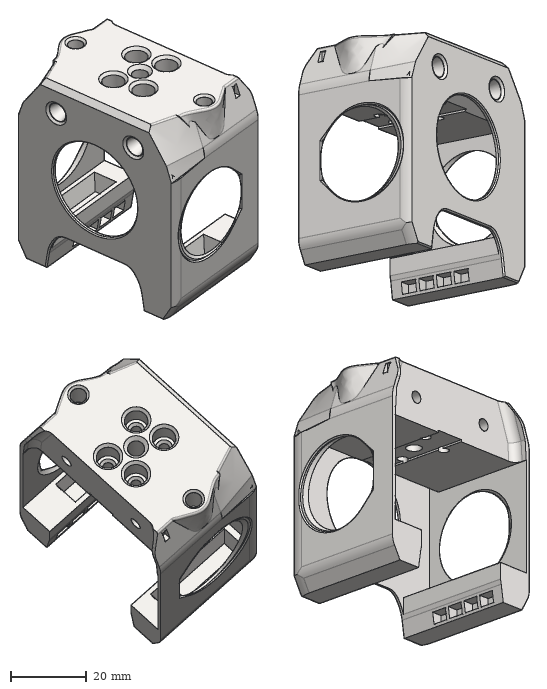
import cadquery as cq
import math

WIDTH = 53.0
DEPTH = 36.49
HEIGHT = 59.85
HALF_WIDTH = WIDTH / 2
OVERSHOOT = 2.0

FOOT_ANGLE = math.radians(30)
FOOT_BLEND_RADIUS = 6.0
FOOT_HALF_WIDTH = 23.6
SHOULDER_ANGLE = math.radians(20)
SHOULDER_BLEND_RADIUS = 9.0
SHOULDER_START_Z = 46.35
FRONT_EDGE_RADIUS = 8.7
FRONT_EDGE_ANGLE = math.radians(23)
TOP_FRONT_CHAMFER = 1.6
FRONT_BOTTOM_CHAMFER = 0.4
TOP_SIDE_FILLET = 0.65
BACK_BLEND_RADIUS = 6.0
BACK_BLEND_ANGLE = math.radians(30)
BACK_BEVEL_TOP_Y = 33.3

BEVEL_LENGTH = 13.5
BEVEL_TOP_X = 17.2
BEVEL_KNEE_X = 24.2
BEVEL_KNEE_Z = 50.0
BEVEL_END_X = 25.9
BEVEL_END_Z = 45.1

WALL = 1.1
MOUTH_ANGLE = 45
CEILING_Z = 43.7
CEILING_FRONT_BEVEL = 3.3
CEILING_RELIEF_WIDTH = 8.8
CEILING_RELIEF_DEPTH = 0.6
TOP_BACK_Y = 32.5
BACK_CORNER_RADIUS = 2.5
FOOT_TOP_Z = 11.2
FOOT_INNER_X = 15.3
FOOT_POCKET_DEPTH = 5.0
FOOT_POCKET_TAPER = 15
FOOT_POCKET_INNER_X = 16.7
FOOT_POCKET_OUTER_X = 24.1
FOOT_POCKET_FRONT_Y = 3.0
LEFT_POCKET_BACK_Y = 30.5
RIGHT_POCKET_BACK_Y = 25.5

CELL_COUNT = 4
CELL_FIRST_Y = 11.4
CELL_LENGTH = 4.6
CELL_PITCH = 5.7
CELL_BOTTOM_Z = 0.9
CELL_TOP_Z = 4.2
CELL_OUTER_X = 19.0

SLOT_HEIGHT = 12.2
SLOT_FLAT_HALF_WIDTH = 9.6
SLOT_SHOULDER_HALF_WIDTH = 13.5
SLOT_SHOULDER_HEIGHT = 10.1
SLOT_SIDE_HALF_WIDTH = 15.6
SLOT_SIDE_HEIGHT = 5.0
SLOT_BASE_HALF_WIDTH = 16.4

FRONT_HOLE_DIAMETER = 28.4
FRONT_HOLE_Z = 32.1
FRONT_HOLE_CHAMFER = 0.35
FRONT_SCREW_X = 13.0
FRONT_SCREW_Z = 51.2
FRONT_SCREW_DIAMETER = 3.4
FRONT_SCREW_HEAD_DIAMETER = 5.7
FRONT_SCREW_MOUTH_DIAMETER = 7.0
FRONT_SCREW_HEAD_DEPTH = 5.0

SIDE_HOLE_RADIUS = 13.2
SIDE_HOLE_Y = 15.8
SIDE_HOLE_Z = 27.0
SIDE_HOLE_BACK_Y = 29.1
SIDE_HOLE_CHAMFER = 0.4
SIDE_HOLE_INNER_RADIUS = 13.1
SIDE_HOLE_INNER_Y = 17.9

EAR_Y = 19.4
EAR_TIP_X = 25.9
EAR_BOTTOM_Z = 48.9
EAR_BOTTOM_SPREAD = 3.7
EAR_TOP_SPREAD = 10.2
EAR_ROOT_X = 19.0
EAR_BURY = 0.1
EAR_CURVE_STEPS = 4
EAR_FRONT_DROP = 0.7
EAR_HOLE_X = 21.7
EAR_HOLE_DIAMETER = 4.4
EAR_HOLE_MOUTH_DIAMETER = 5.7
EAR_HOLE_BOTTOM_DIAMETER = 3.6
EAR_HOLE_DEPTH = 8.0

PATTERN_Y = EAR_Y
PATTERN_RADIUS = 7.95
PATTERN_ANGLES = (66, 135, 246, 315)
TOP_SCREW_DIAMETER = 2.9
TOP_SCREW_NECK_DIAMETER = 4.4
TOP_SCREW_HEAD_DIAMETER = 6.2
TOP_SCREW_MOUTH_DIAMETER = 7.8
TOP_SCREW_HEAD_DEPTH = 6.0
CENTER_HOLE_DIAMETER = 4.5
CENTER_HOLE_MOUTH_DIAMETER = 6.6

NOTCH_Y = 31.25
NOTCH_WIDTH = 1.65
NOTCH_BOTTOM_Z = 55.3
NOTCH_TOP_Z = 58.5
NOTCH_INNER_X = 22.0

SHOULDER_BLEND_DROP = SHOULDER_BLEND_RADIUS * (1 - math.cos(SHOULDER_ANGLE))
SHOULDER_PLANE_Z = SHOULDER_START_Z + SHOULDER_BLEND_RADIUS * math.sin(SHOULDER_ANGLE)


def shoulder_x(z):
    """Half width of the sloping shoulder plane at height z."""
    return HALF_WIDTH - SHOULDER_BLEND_DROP - (z - SHOULDER_PLANE_Z) * math.tan(SHOULDER_ANGLE)


def both_sides(solid):
    return solid.union(solid.mirror("YZ"))


def along_y(start_y):
    """Sketch plane at depth start_y with local X, Y along X, Z; negative lengths run toward +Y."""
    return cq.Workplane("XZ", origin=(0, start_y, 0))


def side_profile():
    blend_height = FOOT_BLEND_RADIUS * math.sin(FOOT_ANGLE)
    blend_drop = FOOT_BLEND_RADIUS * (1 - math.cos(FOOT_ANGLE))
    blend_x = HALF_WIDTH - blend_drop
    blend_z = (blend_x - FOOT_HALF_WIDTH) / math.tan(FOOT_ANGLE)
    foot_mid = FOOT_ANGLE / 2
    shoulder_mid = SHOULDER_ANGLE / 2
    right_half = (
        along_y(0)
        .moveTo(0, 0)
        .lineTo(FOOT_HALF_WIDTH, 0)
        .lineTo(blend_x, blend_z)
        .threePointArc(
            (
                HALF_WIDTH - FOOT_BLEND_RADIUS * (1 - math.cos(foot_mid)),
                blend_z + blend_height - FOOT_BLEND_RADIUS * math.sin(foot_mid),
            ),
            (HALF_WIDTH, blend_z + blend_height),
        )
        .lineTo(HALF_WIDTH, SHOULDER_START_Z)
        .threePointArc(
            (
                HALF_WIDTH - SHOULDER_BLEND_RADIUS * (1 - math.cos(shoulder_mid)),
                SHOULDER_START_Z + SHOULDER_BLEND_RADIUS * math.sin(shoulder_mid),
            ),
            (HALF_WIDTH - SHOULDER_BLEND_DROP, SHOULDER_PLANE_Z),
        )
        .lineTo(shoulder_x(HEIGHT), HEIGHT)
        .lineTo(0, HEIGHT)
        .close()
        .extrude(-DEPTH)
    )
    return both_sides(right_half)


def front_edge_sliver(origin, direction, outward, length):
    """Cutter that rounds a side edge of the front face, extruded along that edge."""
    edge_depth = FRONT_EDGE_RADIUS * math.sin(FRONT_EDGE_ANGLE)
    edge_drop = FRONT_EDGE_RADIUS * (1 - math.cos(FRONT_EDGE_ANGLE))
    mid = FRONT_EDGE_ANGLE / 2
    mid_point = (
        FRONT_EDGE_RADIUS * (math.cos(mid) - 1),
        edge_depth - FRONT_EDGE_RADIUS * math.sin(mid),
    )
    return (
        cq.Workplane(cq.Plane(origin=origin, xDir=outward, normal=direction))
        .moveTo(-edge_drop, 0)
        .threePointArc(mid_point, (0, edge_depth))
        .lineTo(OVERSHOOT, edge_depth)
        .lineTo(OVERSHOOT, -OVERSHOOT)
        .lineTo(-edge_drop, -OVERSHOOT)
        .close()
        .extrude(length)
    )


def front_edge_rounding():
    sine = math.sin(FOOT_ANGLE)
    cosine = math.cos(FOOT_ANGLE)
    upright = front_edge_sliver((HALF_WIDTH, 0, 0), (0, 0, 1), (1, 0, 0), HEIGHT)
    foot_start = (FOOT_HALF_WIDTH - OVERSHOOT * sine, 0, -OVERSHOOT * cosine)
    foot_length = OVERSHOOT + FOOT_TOP_Z
    foot = front_edge_sliver(foot_start, (sine, 0, cosine), (cosine, 0, -sine), foot_length)
    return both_sides(upright.union(foot))


def depth_profile():
    """Outline in Y and Z: chamfered top front edge, bevelled and rounded top back edge."""
    blend_drop = BACK_BLEND_RADIUS * (1 - math.cos(BACK_BLEND_ANGLE))
    blend_y = DEPTH - blend_drop
    blend_z = HEIGHT - (blend_y - BACK_BEVEL_TOP_Y) / math.tan(BACK_BLEND_ANGLE)
    start_z = blend_z - BACK_BLEND_RADIUS * math.sin(BACK_BLEND_ANGLE)
    mid = BACK_BLEND_ANGLE / 2
    return (
        cq.Workplane("YZ", origin=(-HALF_WIDTH, 0, 0))
        .moveTo(0, 0)
        .lineTo(DEPTH, 0)
        .lineTo(DEPTH, start_z)
        .threePointArc(
            (
                DEPTH - BACK_BLEND_RADIUS * (1 - math.cos(mid)),
                start_z + BACK_BLEND_RADIUS * math.sin(mid),
            ),
            (blend_y, blend_z),
        )
        .lineTo(BACK_BEVEL_TOP_Y, HEIGHT)
        .lineTo(TOP_FRONT_CHAMFER, HEIGHT)
        .lineTo(0, HEIGHT - TOP_FRONT_CHAMFER)
        .close()
        .extrude(WIDTH)
    )


def corner_bevel():
    """Ruled cutter that turns the shoulder slope into a steeper cut at the front face."""
    outer_x = HALF_WIDTH + OVERSHOOT
    front = [
        (BEVEL_TOP_X, HEIGHT),
        (BEVEL_KNEE_X, BEVEL_KNEE_Z),
        (BEVEL_END_X, BEVEL_END_Z),
        (outer_x, BEVEL_END_Z),
        (outer_x, HEIGHT),
    ]
    back = [
        (shoulder_x(HEIGHT), HEIGHT),
        (shoulder_x(SHOULDER_PLANE_Z), SHOULDER_PLANE_Z),
        (HALF_WIDTH, SHOULDER_START_Z),
        (outer_x, SHOULDER_START_Z),
        (outer_x, HEIGHT),
    ]
    cutter = (
        along_y(0).polyline(front).close()
        .workplane(offset=-BEVEL_LENGTH).polyline(back).close()
        .loft(ruled=True)
    )
    return both_sides(cutter)


def ear_section(z):
    """Bell shaped plan outline of an ear at height z."""
    rise = (z - EAR_BOTTOM_Z) / (HEIGHT - EAR_BOTTOM_Z)
    spread = EAR_BOTTOM_SPREAD + rise * (EAR_TOP_SPREAD - EAR_BOTTOM_SPREAD)
    back_x = shoulder_x(z) - EAR_BURY
    front_x = back_x - EAR_FRONT_DROP * rise
    steps = EAR_CURVE_STEPS
    points = []
    for i in range(-steps, steps + 1):
        t = i / steps
        base_x = front_x if t < 0 else back_x
        reach = EAR_TIP_X - base_x
        bell = (1 + math.cos(math.pi * t)) / 2
        points.append(cq.Vector(base_x + reach * bell, EAR_Y + spread * t, z))
    straight = cq.Vector(0, 1, 0)
    curve = cq.Edge.makeSpline(points, tangents=[straight, straight])
    root = [cq.Vector(EAR_ROOT_X, p.y, z) for p in (points[-1], points[0])]
    sides = [
        cq.Edge.makeLine(points[-1], root[0]),
        cq.Edge.makeLine(root[0], root[1]),
        cq.Edge.makeLine(root[1], points[0]),
    ]
    return cq.Wire.assembleEdges([curve] + sides)


def ears():
    ear = cq.Solid.makeLoft([ear_section(EAR_BOTTOM_Z), ear_section(HEIGHT)], True)
    return both_sides(cq.Workplane(obj=ear))


def outer_body():
    body = side_profile().intersect(depth_profile()).cut(front_edge_rounding())
    body = body.cut(corner_bevel()).union(ears())
    top_sides = body.faces(">Z").edges("not |X")
    body = top_sides.fillet(TOP_SIDE_FILLET).cut(arched_slot())
    arch_area = cq.selectors.BoxSelector(
        (-FOOT_HALF_WIDTH, -OVERSHOOT, -OVERSHOOT),
        (FOOT_HALF_WIDTH, OVERSHOOT, SLOT_HEIGHT + OVERSHOOT),
    )
    foot_edges = body.faces("<Y").edges(arch_area).edges("#Y")
    return foot_edges.chamfer(FRONT_BOTTOM_CHAMFER)


def box(x_min, x_max, y_min, y_max, z_min, z_max):
    size = (x_max - x_min, y_max - y_min, z_max - z_min)
    return cq.Workplane(obj=cq.Solid.makeBox(*size, cq.Vector(x_min, y_min, z_min)))


def cavity():
    inner_x = HALF_WIDTH - WALL
    back = DEPTH + OVERSHOOT
    room = box(-inner_x, inner_x, WALL, back, FOOT_TOP_Z, CEILING_Z)
    between_feet = box(-FOOT_INNER_X, FOOT_INNER_X, WALL, back, -OVERSHOOT, FOOT_TOP_Z)
    ceiling_bevel = (
        cq.Workplane("YZ", origin=(-inner_x, 0, 0))
        .moveTo(WALL, CEILING_Z)
        .lineTo(WALL + CEILING_FRONT_BEVEL, CEILING_Z)
        .lineTo(WALL, CEILING_Z + CEILING_FRONT_BEVEL)
        .close()
        .extrude(2 * inner_x)
    )
    relief_x = CEILING_RELIEF_WIDTH / 2
    relief = box(-relief_x, relief_x, WALL, back, CEILING_Z, CEILING_Z + CEILING_RELIEF_DEPTH)
    return room.union(between_feet).union(ceiling_bevel).union(relief)


def back_opening():
    """Space behind the top block, bounded by the thin shoulder walls."""
    cutter = (
        along_y(TOP_BACK_Y)
        .moveTo(HALF_WIDTH - WALL, CEILING_Z - OVERSHOOT)
        .lineTo(shoulder_x(SHOULDER_PLANE_Z) - WALL, SHOULDER_PLANE_Z)
        .lineTo(shoulder_x(HEIGHT) - WALL, HEIGHT)
        .lineTo(-shoulder_x(HEIGHT) + WALL, HEIGHT)
        .lineTo(-shoulder_x(SHOULDER_PLANE_Z) + WALL, SHOULDER_PLANE_Z)
        .lineTo(-HALF_WIDTH + WALL, CEILING_Z - OVERSHOOT)
        .close()
        .extrude(TOP_BACK_Y - DEPTH - OVERSHOOT)
    )
    return cutter.faces("<Y").edges("not |X").fillet(BACK_CORNER_RADIUS)


def foot_pocket(side, back_y):
    """Pocket with sloping walls in the top of one foot; side is -1 or 1."""
    width = FOOT_POCKET_OUTER_X - FOOT_POCKET_INNER_X
    length = back_y - FOOT_POCKET_FRONT_Y
    center = (
        side * (FOOT_POCKET_INNER_X + width / 2),
        FOOT_POCKET_FRONT_Y + length / 2,
        FOOT_TOP_Z,
    )
    sketch = cq.Workplane("XY", origin=center).rect(width, length)
    return sketch.extrude(-FOOT_POCKET_DEPTH, taper=FOOT_POCKET_TAPER)


def foot_pockets():
    return foot_pocket(-1, LEFT_POCKET_BACK_Y).union(foot_pocket(1, RIGHT_POCKET_BACK_Y))


def foot_cells():
    cells = cq.Workplane()
    for i in range(CELL_COUNT):
        y = CELL_FIRST_Y + i * CELL_PITCH
        cell = box(FOOT_INNER_X, CELL_OUTER_X, y, y + CELL_LENGTH, CELL_BOTTOM_Z, CELL_TOP_Z)
        cells = cells.add(cell)
    return both_sides(cells.combine())


def arched_slot():
    base_slope = (SLOT_SIDE_HALF_WIDTH - SLOT_BASE_HALF_WIDTH, SLOT_SIDE_HEIGHT)
    half = (
        along_y(-OVERSHOOT)
        .moveTo(0, 0)
        .lineTo(SLOT_BASE_HALF_WIDTH, 0)
        .lineTo(SLOT_SIDE_HALF_WIDTH, SLOT_SIDE_HEIGHT)
        .spline(
            [(SLOT_SHOULDER_HALF_WIDTH, SLOT_SHOULDER_HEIGHT), (SLOT_FLAT_HALF_WIDTH, SLOT_HEIGHT)],
            tangents=[base_slope, (-1, 0)],
            includeCurrent=True,
        )
        .lineTo(0, SLOT_HEIGHT)
        .close()
        .extrude(-(DEPTH + 2 * OVERSHOOT))
    )
    return both_sides(half)


def stepped_hole(point, direction, steps):
    """Coaxial cutters; each step is (start radius, end radius, start depth, end depth)."""
    axis = cq.Vector(*direction)
    cutter = cq.Workplane()
    for start_radius, end_radius, start, end in steps:
        base = cq.Vector(*point) + axis * start
        if start_radius == end_radius:
            part = cq.Solid.makeCylinder(start_radius, end - start, base, axis)
        else:
            part = cq.Solid.makeCone(start_radius, end_radius, end - start, base, axis)
        cutter = cutter.add(part)
    return cutter.combine()


def mouth(mouth_diameter, bore_diameter):
    """45 degree countersink step from the surface down to the bore."""
    depth = (mouth_diameter - bore_diameter) / 2
    return (mouth_diameter / 2, bore_diameter / 2, 0, depth)


def bore(diameter, depth):
    return (diameter / 2, diameter / 2, 0, depth)


def front_holes():
    mouth_diameter = FRONT_HOLE_DIAMETER + 2 * FRONT_HOLE_CHAMFER
    cutter = stepped_hole(
        (0, 0, FRONT_HOLE_Z), (0, 1, 0),
        [mouth(mouth_diameter, FRONT_HOLE_DIAMETER), bore(FRONT_HOLE_DIAMETER, WALL)],
    )
    screw_steps = [
        mouth(FRONT_SCREW_MOUTH_DIAMETER, FRONT_SCREW_HEAD_DIAMETER),
        (FRONT_SCREW_HEAD_DIAMETER / 2, FRONT_SCREW_DIAMETER / 2, 0, FRONT_SCREW_HEAD_DEPTH),
        bore(FRONT_SCREW_DIAMETER, DEPTH),
    ]
    screw = stepped_hole((FRONT_SCREW_X, 0, FRONT_SCREW_Z), (0, 1, 0), screw_steps)
    return cutter.union(both_sides(screw))


def teardrop(radius, back_y, start_x):
    """Round outline with 45 degree tangents toward the back, cut off flat at back_y."""
    diagonal = radius * math.sqrt(0.5)
    flat_half = diagonal - (back_y - SIDE_HOLE_Y - diagonal)
    return (
        cq.Workplane("YZ", origin=(start_x, SIDE_HOLE_Y, SIDE_HOLE_Z))
        .moveTo(diagonal, -diagonal)
        .lineTo(back_y - SIDE_HOLE_Y, -flat_half)
        .lineTo(back_y - SIDE_HOLE_Y, flat_half)
        .lineTo(diagonal, diagonal)
        .threePointArc((-radius, 0), (diagonal, -diagonal))
        .close()
    )


def side_holes():
    """Teardrop openings whose front rim slants backward through the wall."""
    inner_x = HALF_WIDTH - WALL
    shift = SIDE_HOLE_INNER_Y - SIDE_HOLE_Y
    slanted = (
        cq.Workplane("YZ", origin=(HALF_WIDTH, SIDE_HOLE_Y, SIDE_HOLE_Z))
        .circle(SIDE_HOLE_RADIUS)
        .workplane(offset=-WALL)
        .center(shift, 0)
        .circle(SIDE_HOLE_INNER_RADIUS)
        .loft(ruled=True)
    )
    drop = teardrop(SIDE_HOLE_RADIUS, SIDE_HOLE_BACK_Y, inner_x).extrude(WALL)
    mouth_cut = teardrop(
        SIDE_HOLE_RADIUS + SIDE_HOLE_CHAMFER, SIDE_HOLE_BACK_Y + SIDE_HOLE_CHAMFER, HALF_WIDTH
    ).extrude(-SIDE_HOLE_CHAMFER, taper=MOUTH_ANGLE)
    return both_sides(slanted.intersect(drop).union(mouth_cut))


def ear_holes():
    steps = [
        mouth(EAR_HOLE_MOUTH_DIAMETER, EAR_HOLE_DIAMETER),
        (EAR_HOLE_DIAMETER / 2, EAR_HOLE_BOTTOM_DIAMETER / 2, 0, EAR_HOLE_DEPTH),
    ]
    return both_sides(stepped_hole((EAR_HOLE_X, EAR_Y, HEIGHT), (0, 0, -1), steps))


def top_holes():
    center_steps = [
        mouth(CENTER_HOLE_MOUTH_DIAMETER, CENTER_HOLE_DIAMETER),
        bore(CENTER_HOLE_DIAMETER, HEIGHT - CEILING_Z),
    ]
    neck_bottom = TOP_SCREW_HEAD_DEPTH + (TOP_SCREW_NECK_DIAMETER - TOP_SCREW_DIAMETER) / 2
    screw_steps = [
        mouth(TOP_SCREW_MOUTH_DIAMETER, TOP_SCREW_HEAD_DIAMETER),
        bore(TOP_SCREW_HEAD_DIAMETER, TOP_SCREW_HEAD_DEPTH),
        (TOP_SCREW_NECK_DIAMETER / 2, TOP_SCREW_DIAMETER / 2, TOP_SCREW_HEAD_DEPTH, neck_bottom),
        bore(TOP_SCREW_DIAMETER, HEIGHT - CEILING_Z),
    ]
    cutter = stepped_hole((0, PATTERN_Y, HEIGHT), (0, 0, -1), center_steps)
    for degrees in PATTERN_ANGLES:
        angle = math.radians(degrees)
        x = PATTERN_RADIUS * math.cos(angle)
        y = PATTERN_Y + PATTERN_RADIUS * math.sin(angle)
        cutter = cutter.union(stepped_hole((x, y, HEIGHT), (0, 0, -1), screw_steps))
    return cutter


def shoulder_notches():
    notch = box(
        NOTCH_INNER_X, HALF_WIDTH,
        NOTCH_Y - NOTCH_WIDTH / 2, NOTCH_Y + NOTCH_WIDTH / 2,
        NOTCH_BOTTOM_Z, NOTCH_TOP_Z,
    )
    return both_sides(notch)


result = (
    outer_body()
    .cut(cavity())
    .cut(back_opening())
    .cut(foot_pockets())
    .cut(foot_cells())
    .cut(front_holes())
    .cut(side_holes())
    .cut(ear_holes())
    .cut(top_holes())
    .cut(shoulder_notches())
)